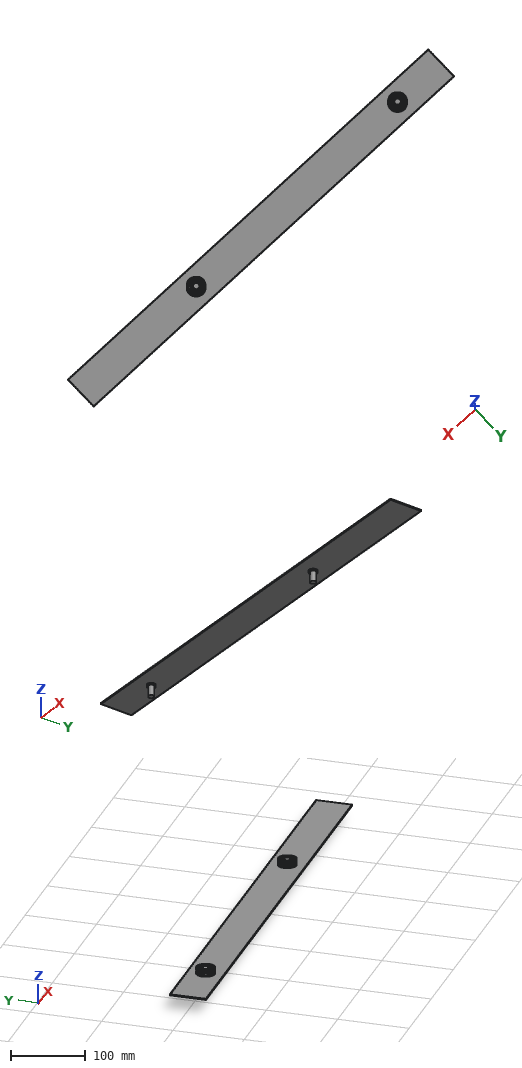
import cadquery as cq

strip_length = 662.0
strip_width = 50.0
strip_thickness = 2.0

first_roller_x = 80.0
roller_spacing = 370.0
roller_xs = [first_roller_x, first_roller_x + roller_spacing]

bearing_diameter = 26.0
bearing_bore = 8.5
bearing_height = 8.0
inner_ring_diameter = 15.0
outer_ring_bore = 20.0
bore_chamfer = 1.65
seal_recess = 0.3

groove_width = bearing_height / 2
groove_depth = 0.5

pin_length = 28.0
collar_diameter = 12.5
collar_height = 2.0

bearing_bottom = strip_thickness
bearing_top = bearing_bottom + bearing_height
bearing_middle = bearing_bottom + bearing_height / 2
pin_bottom = bearing_top - pin_length


def make_disc(x, bottom, height, diameter):
    """A plain upright cylinder on a roller's axis."""
    return cq.Workplane("XY", origin=(x, 0, bottom)).circle(diameter / 2).extrude(height)


def make_ring(x, bottom, height, outer_diameter, inner_diameter):
    """A plain upright ring around a roller's axis."""
    hole = make_disc(x, bottom, height, inner_diameter)
    return make_disc(x, bottom, height, outer_diameter).cut(hole)


def make_strip():
    """The flat plate with one hole for each pin."""
    strip = cq.Workplane("XY").box(strip_length, strip_width, strip_thickness, centered=(False, True, False))
    for x in roller_xs:
        strip = strip.cut(make_disc(x, 0, strip_thickness, bearing_bore))
    return strip


def chamfer_bore(ring):
    """Chamfer the two rims of a ring's bore."""
    bore_rims = cq.selectors.RadiusNthSelector(0)
    return ring.edges("%CIRCLE").edges(bore_rims).chamfer(bore_chamfer)


def make_groove_cutter(x):
    """The triangle of the running surface's V-groove, turned around the roller's axis."""
    rim = bearing_diameter / 2
    return (
        cq.Workplane("XZ", origin=(x, 0, bearing_middle))
        .moveTo(rim, -groove_width / 2)
        .lineTo(rim - groove_depth, 0)
        .lineTo(rim, groove_width / 2)
        .close()
        .revolve(360, (0, 0), (0, 1))
    )


def make_outer_ring(x):
    """The bearing's outer ring, with its chamfered bore and its grooved running surface."""
    ring = make_ring(x, bearing_bottom, bearing_height, bearing_diameter, outer_ring_bore)
    return chamfer_bore(ring).cut(make_groove_cutter(x))


def make_inner_ring(x):
    """The bearing's inner ring, with its chamfered bore."""
    return chamfer_bore(make_ring(x, bearing_bottom, bearing_height, inner_ring_diameter, bearing_bore))


def make_seal(x):
    """The ring that closes the gap between both bearing rings, sunk at top and bottom."""
    height = bearing_height - 2 * seal_recess
    return make_ring(x, bearing_bottom + seal_recess, height, outer_ring_bore, inner_ring_diameter)


def make_pin(x):
    """The round pin, with a collar against the underside of the strip."""
    shank = make_disc(x, pin_bottom, pin_length, bearing_bore)
    return shank.union(make_disc(x, -collar_height, collar_height, collar_diameter))


strip = make_strip()
pins = [make_pin(x) for x in roller_xs]
inner_rings = [make_inner_ring(x) for x in roller_xs]
seals = [make_seal(x) for x in roller_xs]
outer_rings = [make_outer_ring(x) for x in roller_xs]

bodies = [strip, *pins, *inner_rings, *seals, *outer_rings]
result = cq.Compound.makeCompound([body.val() for body in bodies])